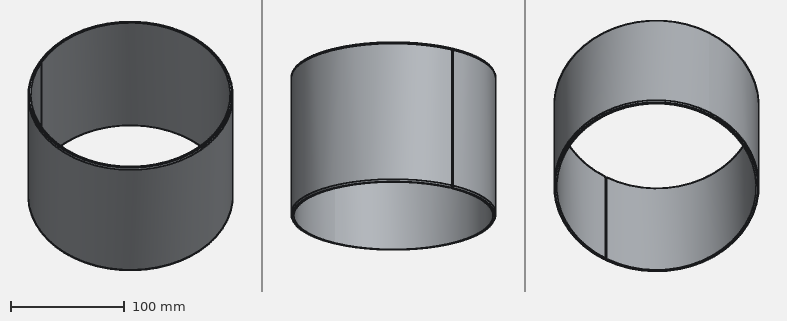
import cadquery as cq

outer_diameter = 180.0
height = 130.0
wall = 2.5
chamfer_height = 1.8
chamfer_width = 0.9
slit_width = 1.6

outer_radius = outer_diameter / 2
inner_radius = outer_radius - wall
rim_radius = outer_radius - chamfer_width


def sleeve():
    """Thin tube with both outer rims chamfered, made by revolving the wall section."""
    return (
        cq.Workplane("XZ")
        .moveTo(inner_radius, 0)
        .lineTo(rim_radius, 0)
        .lineTo(outer_radius, chamfer_height)
        .lineTo(outer_radius, height - chamfer_height)
        .lineTo(rim_radius, height)
        .lineTo(inner_radius, height)
        .close()
        .revolve(360, (0, 0, 0), (0, 1, 0))
    )


def slit():
    """Full-height cut through the -X wall, with one face on the Y = 0 plane."""
    return cq.Workplane("XY").box(outer_radius, slit_width, height, centered=False).translate(
        (-outer_radius, 0, 0)
    )


result = sleeve().cut(slit())